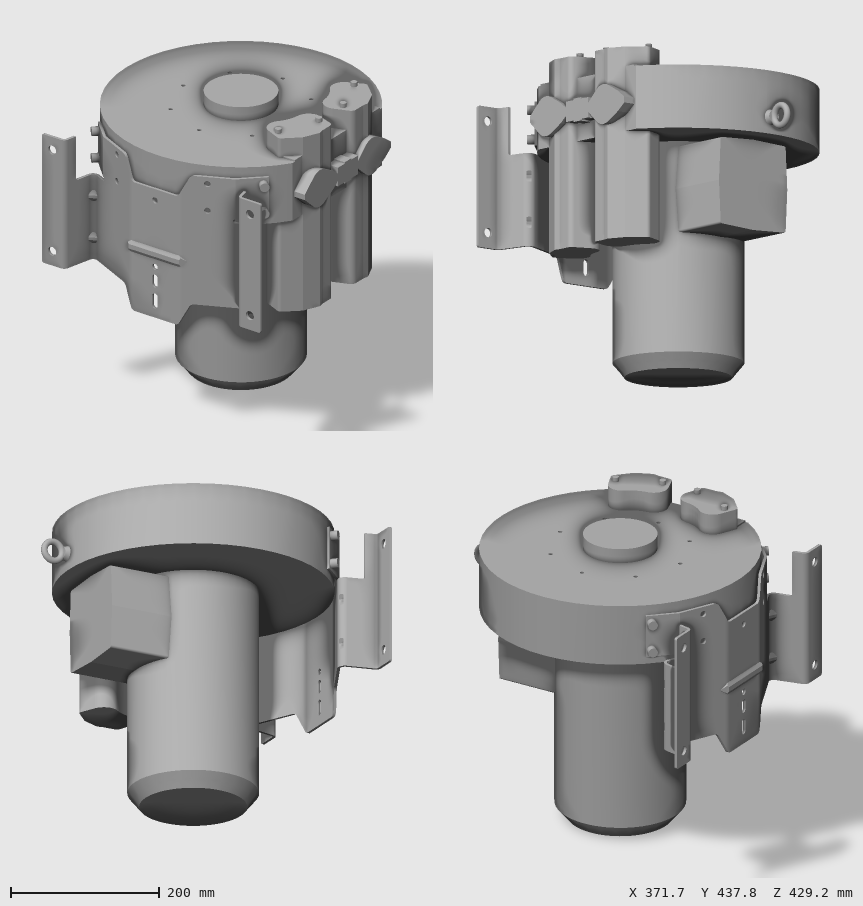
import cadquery as cq
import math


HOUSING_RADIUS = 190.0
HOUSING_HEIGHT = 86.4
HOUSING_FLAT_X = 160.2
HUB_RADIUS = 50.3
HUB_HEIGHT = 20.6
COVER_HOLE_COUNT = 8
COVER_HOLE_CIRCLE_RADIUS = 95.8
COVER_HOLE_DIAMETER = 6.0
COVER_HOLE_DEPTH = 10.0
MOTOR_RADIUS = 88.85
MOTOR_END_RADIUS = 72.7
MOTOR_BOTTOM_Z = -393.7
MOTOR_TAPER_HEIGHT = 19.7

BOX_CENTER_Z = -151.8
BOX_END_Y = 156.4
BOX_HALF_WIDTH = 60.0
BOX_HALF_HEIGHT = 61.8
BOX_CORNER_X = 57.0
BOX_CORNER_Z = 59.0
BOX_CORNER_RADIUS = 3.0

POD_TOP_Z = 29.4
POD_BOTTOM_Z = -231.3
LOBE_RADIUS = 19.3
OUTER_LOBE_CENTER = (118.9, 72.3)
INNER_LOBE_CENTER = (136.0, 32.6)
POD_WAIST_HALF_WIDTH = 16.0
POD_TIP = (136.2, 101.2)
POD_TIP_RADIUS = 6.0
POD_SHOULDER = (160.3, 79.2)
POD_CREST = (171.0, 55.0)
POD_CREST_END = (169.4, 46.0)
POD_CORNER = (169.4, 24.2)
POD_CORNER_RADIUS = 8.0
POD_BOLT_PLACES = [(124.8, 86.7), (149.7, 27.6)]
POD_BOLT_DIAMETER = 9.0
POD_BOLT_HEIGHT = 6.11

PAD_HEIGHT = 2.4
PAD_START_X = 133.0
PAD_INNER_Y = 45.0
PAD_OUTER_Y = 97.5
PORT_END_X = 178.0
PORT_CENTER_Z = -48.0
PORT_SPACING = 119.7
PORT_SIDE_Y = (98.7, 20.9)
PORT_SIDE_HALF_HEIGHT = 4.0
PORT_SHOULDER = (85.4, 14.0)
PORT_CROWN = (52.0, 32.0)
PORT_CROWN_RADIUS = 22.0
WEB_BLOCK_HALF_HEIGHT = 16.0
WEB_STEP_HALF_WIDTH = 7.5
WEB_STEP_DEPTH = 2.0

SHEET = 4.0
FOOT_END_X = -181.7
FOOT_Y = -205.8
LEG_BASE_X = -144.0
LEG_LEAN = 13.0
CENTER_HALF_WIDTH = 40.2
CENTER_Y = -196.8
WEB_ANGLE = 25.0
FOOT_BEND_RADIUS = 4.0
LEG_BEND_RADIUS = 6.5
CENTER_BEND_RADIUS = 16.0
BRACKET_TOP_Z = -14.5
BRACKET_HEIGHT = 193.3
CENTER_DROP = 33.6
DROP_OUTER_X = 54.6
DROP_INNER_X = 38.0
DROP_RADIUS = 8.0
FOOT_CORNER_RADIUS = 3.0
FOOT_HOLE_X = 164.4
FOOT_HOLE_Z = (-34.2, -186.4)
FOOT_HOLE_DIAMETER = 13.0
BOLT_Z = (-25.0, -65.0)
WEB_HOLE_X = 75.3
SMALL_HOLE_DIAMETER = 9.0
CENTER_HOLE_Z = (-65.0, -165.2)
CENTER_SLOTS = [(-186.4, 19.0), (-216.5, 22.5)]

TAB_ANGLE = 45.0
TAB_INNER_DISTANCE = HOUSING_RADIUS - 0.2
TAB_OVERHANG = 7.4
TAB_BEND_RADIUS = 8.0
TAB_ROOT_X = -97.0
TAB_BOTTOM_Z = -74.8
WINDOW_BOTTOM_Z = -80.5
WINDOW_EDGE_X = -110.0
WINDOW_EDGE_Y = -185.5
WINDOW_CORNER_RADIUS = 3.0
TAB_BOLT_DIAMETER = 13.0
TAB_BOLT_HEAD_HEIGHT = 10.0
TAB_BOLT_SHANK_DIAMETER = 8.0
TAB_BOLT_SHANK_LENGTH = 15.0

BEAD_Z = -144.8
BEAD_HALF_LENGTH = 49.5
BEAD_CREST_HALF_LENGTH = 42.0
BEAD_SHOULDER_X = 40.0
BEAD_HALF_HEIGHT = 8.6
BEAD_CREST_HALF_HEIGHT = 3.4
BEAD_TIP_HALF_HEIGHT = 1.0
BEAD_PROUD = 3.2
GUSSET_Z = (-112.0, -175.2)
GUSSET_DEPTH = 4.5
GUSSET_HALF_HEIGHT = 8.5
GUSSET_CREST_HALF_HEIGHT = 2.0
GUSSET_DENT_OFFSET = 4.4
GUSSET_LEG_POINT = (-134.5, -164.5)
GUSSET_WEB_POINT = (-123.5, -158.8)

EYE_Z = -64.5
EYE_TIP_Y = 232.04
EYE_WIRE_RADIUS = 4.5
EYE_RING_RADIUS = 13.5
EYE_COLLAR_RADII = (10.5, 8.5)
EYE_COLLAR_Y = (193.3, 200.0)
EYE_NECK_RADIUS = 4.0
EYE_NECK_DEPTH = 20.0


def unit(angle):
    """Unit vector in the XY plane at an angle in degrees."""
    return (math.cos(math.radians(angle)), math.sin(math.radians(angle)))


def moved(point, direction, distance):
    return (point[0] + direction[0] * distance, point[1] + direction[1] * distance)


def direction_between(start, end):
    length = math.dist(start, end)
    return ((end[0] - start[0]) / length, (end[1] - start[1]) / length)


def crossing(point_a, dir_a, point_b, dir_b):
    """Point where two lines, each given by a point and a direction, cross."""
    det = dir_a[0] * dir_b[1] - dir_a[1] * dir_b[0]
    gap = (point_b[0] - point_a[0], point_b[1] - point_a[1])
    return moved(point_a, dir_a, (gap[0] * dir_b[1] - gap[1] * dir_b[0]) / det)


def shifted_left(points, distance):
    """The open chain of points offset to its left, with mitred corners."""
    dirs = [direction_between(a, b) for a, b in zip(points, points[1:])]
    lefts = [(-d[1], d[0]) for d in dirs]
    result_points = [moved(points[0], lefts[0], distance)]
    for i in range(1, len(dirs)):
        before = moved(points[i], lefts[i - 1], distance)
        after = moved(points[i], lefts[i], distance)
        result_points.append(crossing(before, dirs[i - 1], after, dirs[i]))
    result_points.append(moved(points[-1], lefts[-1], distance))
    return result_points


def bent_sheet(face_points, inner_radii, bottom_z, top_z):
    """Vertical sheet whose right-hand face follows face_points, bent at each inner point."""
    far_points = shifted_left(face_points, SHEET)
    sheet = cq.Workplane("XY").workplane(offset=bottom_z)
    sheet = sheet.polyline(face_points + far_points[::-1]).close().extrude(top_z - bottom_z)
    for i, inner_radius in enumerate(inner_radii, start=1):
        before = direction_between(face_points[i - 1], face_points[i])
        after = direction_between(face_points[i], face_points[i + 1])
        turns_left = before[0] * after[1] - before[1] * after[0] > 0
        face_radius = inner_radius + SHEET if turns_left else inner_radius
        far_radius = inner_radius if turns_left else inner_radius + SHEET
        for point, radius in ((face_points[i], face_radius), (far_points[i], far_radius)):
            spot = cq.selectors.NearestToPointSelector((point[0], point[1], (bottom_z + top_z) / 2))
            sheet = sheet.edges("|Z").edges(spot).fillet(radius)
    return sheet


def both_sides(shape):
    """The shape together with its mirror image across the YZ plane."""
    return shape.union(shape.mirror("YZ"))


def prism_y(profile, start_y, end_y):
    """Prism along Y with an XZ profile."""
    return cq.Workplane("XZ", origin=(0, start_y, 0)).polyline(profile).close().extrude(start_y - end_y)


def cylinder(base, direction, radius, length):
    return cq.Workplane(cq.Solid.makeCylinder(radius, length, cq.Vector(*base), cq.Vector(*direction)))


def make_housing():
    housing = cq.Workplane("XY").circle(HOUSING_RADIUS).extrude(-HOUSING_HEIGHT)
    trim = cq.Workplane("XY").box(HOUSING_RADIUS, 2 * HOUSING_RADIUS, 3 * HOUSING_HEIGHT)
    housing = housing.cut(trim.translate((HOUSING_FLAT_X + HOUSING_RADIUS / 2, 0, 0)))
    holes = (
        cq.Workplane("XY")
        .polarArray(COVER_HOLE_CIRCLE_RADIUS, 0, 360, COVER_HOLE_COUNT)
        .circle(COVER_HOLE_DIAMETER / 2)
        .extrude(-COVER_HOLE_DEPTH)
    )
    hub = cq.Workplane("XY").circle(HUB_RADIUS).extrude(HUB_HEIGHT)
    return housing.cut(holes).union(hub)


def make_motor():
    profile = [
        (0, -HOUSING_HEIGHT / 2),
        (MOTOR_RADIUS, -HOUSING_HEIGHT / 2),
        (MOTOR_RADIUS, MOTOR_BOTTOM_Z + MOTOR_TAPER_HEIGHT),
        (MOTOR_END_RADIUS, MOTOR_BOTTOM_Z),
        (0, MOTOR_BOTTOM_Z),
    ]
    return cq.Workplane("XZ").polyline(profile).close().revolve(360, (0, 0, 0), (0, 1, 0))


def make_terminal_box():
    """Box whose four long sides are each slightly crowned along their middle."""
    profile = [
        (BOX_HALF_WIDTH, 0),
        (BOX_CORNER_X, BOX_CORNER_Z),
        (0, BOX_HALF_HEIGHT),
        (-BOX_CORNER_X, BOX_CORNER_Z),
        (-BOX_HALF_WIDTH, 0),
        (-BOX_CORNER_X, -BOX_CORNER_Z),
        (0, -BOX_HALF_HEIGHT),
        (BOX_CORNER_X, -BOX_CORNER_Z),
    ]
    box = prism_y(profile, 0, BOX_END_Y)
    for x in (-BOX_CORNER_X, BOX_CORNER_X):
        for z in (-BOX_CORNER_Z, BOX_CORNER_Z):
            spot = cq.selectors.NearestToPointSelector((x, BOX_END_Y / 2, z))
            box = box.edges("|Y").edges(spot).fillet(BOX_CORNER_RADIUS)
    return box.translate((0, 0, BOX_CENTER_Z))


def make_pod():
    """Kidney-shaped pod: two equal lobes with a waist on the side facing the motor axis."""
    axis = direction_between(OUTER_LOBE_CENTER, INNER_LOBE_CENTER)
    inward = (axis[1], -axis[0])
    half_span = math.dist(OUTER_LOBE_CENTER, INNER_LOBE_CENTER) / 2
    middle = moved(OUTER_LOBE_CENTER, axis, half_span)
    waist_radius = (POD_WAIST_HALF_WIDTH**2 + half_span**2 - LOBE_RADIUS**2) / (
        2 * (LOBE_RADIUS - POD_WAIST_HALF_WIDTH)
    )
    waist_center = moved(middle, inward, POD_WAIST_HALF_WIDTH + waist_radius)
    waist = moved(middle, inward, POD_WAIST_HALF_WIDTH)

    def tangent_point(center, outside, side):
        """Where the line from an outside point touches the lobe, on the given side."""
        distance = math.dist(center, outside)
        heading = math.degrees(math.atan2(outside[1] - center[1], outside[0] - center[0]))
        swing = math.degrees(math.acos(LOBE_RADIUS / distance))
        return moved(center, unit(heading + side * swing), LOBE_RADIUS)

    def lobe_point(center, direction):
        return moved(center, direction, LOBE_RADIUS)

    down_left = unit(-135)
    outer_join = lobe_point(OUTER_LOBE_CENTER, direction_between(OUTER_LOBE_CENTER, waist_center))
    inner_join = lobe_point(INNER_LOBE_CENTER, direction_between(INNER_LOBE_CENTER, waist_center))
    pod = (
        cq.Workplane("XY")
        .workplane(offset=POD_BOTTOM_Z)
        .moveTo(*POD_TIP)
        .lineTo(*tangent_point(OUTER_LOBE_CENTER, POD_TIP, 1))
        .threePointArc(lobe_point(OUTER_LOBE_CENTER, (-1, 0)), outer_join)
        .threePointArc(waist, inner_join)
        .threePointArc(
            lobe_point(INNER_LOBE_CENTER, down_left), tangent_point(INNER_LOBE_CENTER, POD_CORNER, -1)
        )
        .lineTo(*POD_CORNER)
        .lineTo(*POD_CREST_END)
        .lineTo(*POD_CREST)
        .lineTo(*POD_SHOULDER)
        .close()
        .extrude(POD_TOP_Z - POD_BOTTOM_Z)
    )
    for corner, radius in ((POD_TIP, POD_TIP_RADIUS), (POD_CORNER, POD_CORNER_RADIUS)):
        spot = cq.selectors.NearestToPointSelector((corner[0], corner[1], (POD_TOP_Z + POD_BOTTOM_Z) / 2))
        pod = pod.edges("|Z").edges(spot).fillet(radius)
    bolts = (
        cq.Workplane("XY")
        .workplane(offset=POD_TOP_Z)
        .pushPoints(POD_BOLT_PLACES)
        .circle(POD_BOLT_DIAMETER / 2)
        .extrude(POD_BOLT_HEIGHT)
    )
    pad = cq.Workplane("XY").box(
        HOUSING_FLAT_X - PAD_START_X, PAD_OUTER_Y - PAD_INNER_Y, PAD_HEIGHT, centered=False
    )
    return pod.union(bolts).union(pad.translate((PAD_START_X, PAD_INNER_Y, 0)))


def make_ports():
    """Two equal rounded port flanges on the housing flat, joined by a stepped block."""
    length = PORT_END_X - HOUSING_FLAT_X
    outer_y, inner_y = PORT_SIDE_Y
    upper = [(outer_y, PORT_SIDE_HALF_HEIGHT), PORT_SHOULDER, PORT_CROWN, (inner_y, PORT_SIDE_HALF_HEIGHT)]
    lower = [(y, -z) for y, z in reversed(upper)]
    plane = cq.Workplane("YZ", origin=(HOUSING_FLAT_X, 0, 0))
    flange = plane.polyline(upper + lower).close().extrude(length)
    for z in (PORT_CROWN[1], -PORT_CROWN[1]):
        spot = cq.selectors.NearestToPointSelector((HOUSING_FLAT_X + length / 2, PORT_CROWN[0], z))
        flange = flange.edges("|X").edges(spot).fillet(PORT_CROWN_RADIUS)
    ports = flange.union(flange.translate((0, -PORT_SPACING, 0)))
    block_half_width = inner_y + WEB_STEP_DEPTH
    block = plane.rect(2 * block_half_width, 2 * (WEB_BLOCK_HALF_HEIGHT - WEB_STEP_DEPTH)).extrude(length)
    step = plane.rect(2 * WEB_STEP_HALF_WIDTH, 2 * WEB_BLOCK_HALF_HEIGHT).extrude(length)
    return ports.union(block).union(step).translate((0, 0, PORT_CENTER_Z))


def bracket_face_points():
    """Left half of the bracket's -Y face as a sharp-cornered chain, from foot end to centre plate."""
    web_corner = (-CENTER_HALF_WIDTH, CENTER_Y)
    leg_base = (LEG_BASE_X, FOOT_Y)
    leg_top = crossing(leg_base, unit(90 - LEG_LEAN), web_corner, unit(180 - WEB_ANGLE))
    return [(FOOT_END_X, FOOT_Y), leg_base, leg_top, web_corner]


def bracket_outline():
    """Front outline of the bracket: a band with a centre part that sits lower."""
    half = [(-FOOT_END_X, 0), (DROP_OUTER_X, 0), (DROP_INNER_X, -CENTER_DROP)]
    top = half + [(-x, z) for x, z in reversed(half)]
    top = [(x, z + BRACKET_TOP_Z) for x, z in top]
    bottom = [(x, z - BRACKET_HEIGHT) for x, z in reversed(top)]
    outline = prism_y(top + bottom, 0, FOOT_Y - SHEET)
    for x in (DROP_OUTER_X, DROP_INNER_X, -FOOT_END_X):
        drop = CENTER_DROP if x == DROP_INNER_X else 0
        radius = FOOT_CORNER_RADIUS if x == -FOOT_END_X else DROP_RADIUS
        for side in (-1, 1):
            for z in (BRACKET_TOP_Z - drop, BRACKET_TOP_Z - drop - BRACKET_HEIGHT):
                spot = cq.selectors.NearestToPointSelector((side * x, FOOT_Y / 2, z))
                outline = outline.edges("|Y").edges(spot).fillet(radius)
    return outline


def make_bracket_sheet():
    left = bracket_face_points()
    right = [(-x, y) for x, y in reversed(left)]
    half_radii = [FOOT_BEND_RADIUS, LEG_BEND_RADIUS, CENTER_BEND_RADIUS]
    bottom_z = BRACKET_TOP_Z - BRACKET_HEIGHT - CENTER_DROP
    sheet = bent_sheet(left + right, half_radii + half_radii[::-1], bottom_z, BRACKET_TOP_Z)
    return sheet.intersect(bracket_outline())


def make_window():
    """Opening in the left leg and web, where the tab is folded out."""
    width = WINDOW_EDGE_X - FOOT_END_X
    depth = -WINDOW_EDGE_Y
    height = BRACKET_TOP_Z - WINDOW_BOTTOM_Z
    window = cq.Workplane("XY").box(width, depth, height, centered=False)
    window = window.edges("|X and <Y and <Z").fillet(WINDOW_CORNER_RADIUS)
    window = window.translate((FOOT_END_X, WINDOW_EDGE_Y, WINDOW_BOTTOM_Z))
    relief_radius = (TAB_BOTTOM_Z - WINDOW_BOTTOM_Z) / 2
    relief_start = (WINDOW_EDGE_X, WINDOW_EDGE_Y, WINDOW_BOTTOM_Z + relief_radius)
    return window.union(cylinder(relief_start, (0, 1, 0), relief_radius, depth))


def make_tab():
    """Left tab, folded from the web onto the housing wall, with its two bolts."""
    outward = unit(180 + TAB_ANGLE)
    along = unit(180 - TAB_ANGLE)
    web_corner = (-CENTER_HALF_WIDTH, CENTER_Y)
    foot_of_normal = moved((0, 0), outward, TAB_INNER_DISTANCE + SHEET)
    fold = crossing(foot_of_normal, along, web_corner, unit(180 - WEB_ANGLE))
    root_length = (-CENTER_HALF_WIDTH - TAB_ROOT_X) / math.cos(math.radians(WEB_ANGLE))
    root = moved(web_corner, unit(180 - WEB_ANGLE), root_length)
    end = moved(foot_of_normal, along, TAB_OVERHANG)
    tab = bent_sheet([end, fold, root], [TAB_BEND_RADIUS], TAB_BOTTOM_Z, BRACKET_TOP_Z)
    inside = moved(foot_of_normal, outward, -TAB_BOLT_SHANK_LENGTH)
    shank_length = TAB_BOLT_SHANK_LENGTH + TAB_BOLT_HEAD_HEIGHT / 2
    for z in BOLT_Z:
        head = cylinder((*foot_of_normal, z), (*outward, 0), TAB_BOLT_DIAMETER / 2, TAB_BOLT_HEAD_HEIGHT)
        shank = cylinder((*inside, z), (*outward, 0), TAB_BOLT_SHANK_DIAMETER / 2, shank_length)
        tab = tab.union(head).union(shank)
    return tab


def make_bracket_holes():
    """Holes through the feet, the sloping webs and the centre plate."""
    side_holes = cq.Workplane("XY")
    foot_reach = 3 * SHEET
    for z in FOOT_HOLE_Z:
        start = (-FOOT_HOLE_X, FOOT_Y - SHEET, z)
        side_holes = side_holes.add(cylinder(start, (0, 1, 0), FOOT_HOLE_DIAMETER / 2, foot_reach))
    normal = unit(90 - WEB_ANGLE)
    web_run = WEB_HOLE_X - CENTER_HALF_WIDTH
    web_y = CENTER_Y + web_run * math.tan(math.radians(WEB_ANGLE))
    start = moved((-WEB_HOLE_X, web_y), normal, -SHEET / 2)
    for z in BOLT_Z:
        side_holes = side_holes.add(cylinder((*start, z), (*normal, 0), SMALL_HOLE_DIAMETER / 2, 2 * SHEET))
    holes = both_sides(side_holes.combine())
    plane = cq.Workplane("XZ", origin=(0, CENTER_Y - SHEET / 2, 0))
    depth = -2 * SHEET
    for z in CENTER_HOLE_Z:
        holes = holes.union(plane.center(0, z).circle(SMALL_HOLE_DIAMETER / 2).extrude(depth))
    for z, length in CENTER_SLOTS:
        holes = holes.union(plane.center(0, z).slot2D(length, SMALL_HOLE_DIAMETER, 90).extrude(depth))
    return holes


def make_bead():
    """Raised bead across the centre plate, tapering out onto both webs."""
    crest_y = CENTER_Y - BEAD_PROUD
    web_run = BEAD_HALF_LENGTH - CENTER_HALF_WIDTH
    end_y = CENTER_Y + web_run * math.tan(math.radians(WEB_ANGLE))
    plan = [
        (-BEAD_HALF_LENGTH, end_y),
        (-BEAD_CREST_HALF_LENGTH, crest_y),
        (BEAD_CREST_HALF_LENGTH, crest_y),
        (BEAD_HALF_LENGTH, end_y),
        (CENTER_HALF_WIDTH, CENTER_Y + SHEET / 2),
        (-CENTER_HALF_WIDTH, CENTER_Y + SHEET / 2),
    ]
    section = [
        (end_y, BEAD_HALF_HEIGHT),
        (CENTER_Y, BEAD_HALF_HEIGHT),
        (crest_y, BEAD_CREST_HALF_HEIGHT),
        (crest_y, -BEAD_CREST_HALF_HEIGHT),
        (CENTER_Y, -BEAD_HALF_HEIGHT),
        (end_y, -BEAD_HALF_HEIGHT),
    ]
    upper = [
        (-BEAD_HALF_LENGTH, BEAD_TIP_HALF_HEIGHT),
        (-BEAD_SHOULDER_X, BEAD_HALF_HEIGHT),
        (BEAD_SHOULDER_X, BEAD_HALF_HEIGHT),
        (BEAD_HALF_LENGTH, BEAD_TIP_HALF_HEIGHT),
    ]
    front = upper + [(x, -z) for x, z in reversed(upper)]
    bead = cq.Workplane("XY").polyline(plan).close().extrude(BEAD_HALF_HEIGHT, both=True)
    bead = bead.intersect(cq.Workplane("YZ").polyline(section).close().extrude(BEAD_HALF_LENGTH, both=True))
    bead = bead.intersect(prism_y(front, end_y, crest_y))
    return bead.translate((0, 0, BEAD_Z))


def make_gussets():
    """Small pressed gussets inside the left bend between leg and web, and the dents behind them."""
    leg_top = bracket_face_points()[2]
    plan = [GUSSET_LEG_POINT, GUSSET_WEB_POINT, leg_top]
    filler = cq.Workplane("XY").polyline(plan).close().extrude(2 * GUSSET_HALF_HEIGHT, both=True)
    chord = direction_between(GUSSET_LEG_POINT, GUSSET_WEB_POINT)
    section_plane = cq.Plane(
        origin=(*GUSSET_LEG_POINT, 0), xDir=(-chord[1], chord[0], 0), normal=(*chord, 0)
    )
    widening = (GUSSET_HALF_HEIGHT - GUSSET_CREST_HALF_HEIGHT) / GUSSET_DEPTH
    root_depth = 2 * GUSSET_DEPTH
    root_half_height = GUSSET_CREST_HALF_HEIGHT + widening * root_depth
    section = [
        (0, -GUSSET_CREST_HALF_HEIGHT),
        (0, GUSSET_CREST_HALF_HEIGHT),
        (root_depth, root_half_height),
        (root_depth, -root_half_height),
    ]
    length = math.dist(GUSSET_LEG_POINT, GUSSET_WEB_POINT)
    gusset = cq.Workplane(section_plane).polyline(section).close().extrude(length).intersect(filler)
    dent = gusset.translate(section_plane.xDir * GUSSET_DENT_OFFSET)
    gussets = cq.Workplane("XY")
    dents = cq.Workplane("XY")
    for z in GUSSET_Z:
        gussets = gussets.add(gusset.translate((0, 0, z)))
        dents = dents.add(dent.translate((0, 0, z)))
    return gussets.combine(), dents.combine()


def make_bracket():
    gussets, dents = make_gussets()
    sheet = make_bracket_sheet()
    sheet = sheet.cut(both_sides(make_window()))
    sheet = sheet.cut(make_bracket_holes())
    sheet = sheet.union(make_bead())
    sheet = sheet.union(both_sides(gussets)).cut(both_sides(dents))
    return sheet.union(both_sides(make_tab()))


def make_lifting_eye():
    ring_y = EYE_TIP_Y - EYE_RING_RADIUS - EYE_WIRE_RADIUS
    ring = cq.Workplane("YZ", origin=(0, ring_y, EYE_Z)).center(EYE_RING_RADIUS, 0)
    ring = ring.circle(EYE_WIRE_RADIUS).revolve(360, (-EYE_RING_RADIUS, 0, 0), (-EYE_RING_RADIUS, 1, 0))
    ring = ring.rotate((0, ring_y, EYE_Z), (0, ring_y + 1, EYE_Z), 90)
    collar_start, collar_end = EYE_COLLAR_Y
    along_y = cq.Vector(0, 1, 0)
    collar = cq.Solid.makeCone(
        *EYE_COLLAR_RADII, collar_end - collar_start, cq.Vector(0, collar_start, EYE_Z), along_y
    )
    neck_start = collar_start - EYE_NECK_DEPTH
    neck_length = EYE_NECK_DEPTH + (collar_end - collar_start)
    neck = cylinder((0, neck_start, EYE_Z), (0, 1, 0), EYE_NECK_RADIUS, neck_length)
    return ring.union(cq.Workplane(collar)).union(neck)


pod = make_pod()
result = (
    make_housing()
    .union(make_motor())
    .union(make_terminal_box())
    .union(pod)
    .union(pod.mirror("XZ"))
    .union(make_ports())
    .union(make_bracket())
    .union(make_lifting_eye())
)